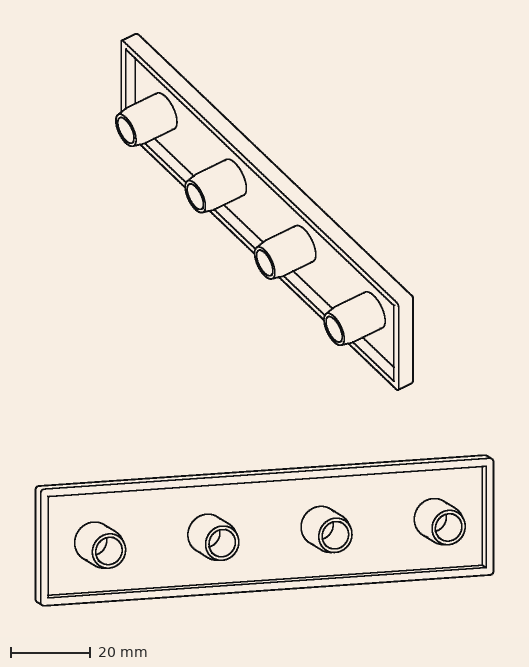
import cadquery as cq

length = 120.0
height = 30.0
plate_thickness = 5.0
edge_radius = 1.0
wall = 2.0
floor_thickness = 2.0

peg_count = 4
peg_pitch = length / peg_count
peg_length = 12.2
peg_diameter = 10.0
tip_diameter = 8.8
tip_length = 3.0
bore_diameter = 7.0

back_y = plate_thickness
floor_y = back_y - floor_thickness
peg_end_y = floor_y - peg_length
tip_start_y = peg_end_y + tip_length


def make_tray():
    """Rectangular tray with rounded corners and a rounded back edge."""
    block = cq.Workplane("XY").box(length, plate_thickness, height)
    block = block.translate((0, back_y - plate_thickness / 2, 0))
    block = block.edges("|Y").fillet(edge_radius)
    block = block.faces(">Y").edges().fillet(edge_radius)
    pocket = cq.Workplane("XY").box(length - 2 * wall, floor_y, height - 2 * wall)
    return block.cut(pocket.translate((0, floor_y / 2, 0)))


def make_peg(x):
    """Tube with a tapered tip, bored down to the tray floor and revolved about Y."""
    bore_radius = bore_diameter / 2
    peg_radius = peg_diameter / 2
    tip_radius = tip_diameter / 2
    profile = (
        cq.Workplane("ZY")
        .moveTo(bore_radius, floor_y)
        .lineTo(peg_radius, floor_y)
        .lineTo(peg_radius, tip_start_y)
        .lineTo(tip_radius, peg_end_y)
        .lineTo(bore_radius, peg_end_y)
        .close()
    )
    return profile.revolve(360, (0, 0, 0), (0, 1, 0)).translate((x, 0, 0))


result = make_tray()
for index in range(peg_count):
    peg_x = (index - (peg_count - 1) / 2) * peg_pitch
    result = result.union(make_peg(peg_x))